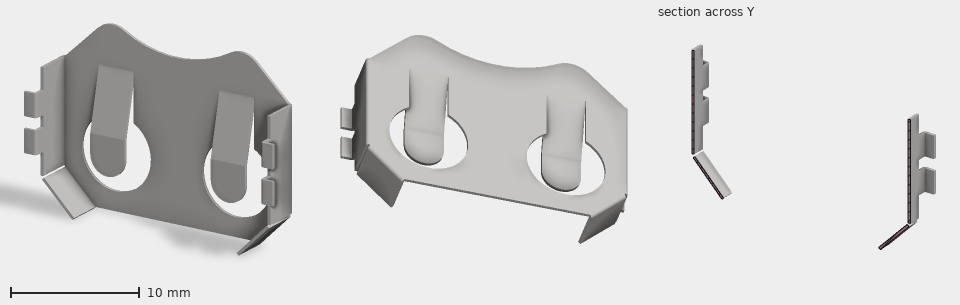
import cadquery as cq
import math


SHEET = 0.254
SIN_45 = math.sin(math.radians(45))

FOOT_SPAN = 22.86
OVERALL_DEPTH = 4.318
OVERALL_HEIGHT = 15.494

flange_drop = SHEET * SIN_45
PLATE_TOP = OVERALL_HEIGHT - flange_drop
PLATE_HALF_WIDTH = 10.312
SHOULDER_Z = 11.86
LOWER_CHAMFER = 2.85
LOBE_X = 5.89
LOBE_RADIUS = 2.032
TROUGH_RADIUS = 9.525

FLANGE_DEPTH = 3.302
CORNER_GAP = 0.06
FOOT_WIDTH = 2.032
FOOT_SPACING = 1.016
FEET_MIDDLE_Z = 7.44

TONGUE_X = 5.54
TONGUE_WIDTH = 3.175
TONGUE_REACH = 1.524
ROOT_Z = SHOULDER_Z
KNEE_Z = 6.52
PAD_CENTRE_Z = 4.826
WINDOW_DIAMETER = 6.35
ROOT_BEND_RADIUS = 0.508

half_foot_span = FOOT_SPAN / 2
lower_corner_x = PLATE_HALF_WIDTH - LOWER_CHAMFER
wall_bottom = LOWER_CHAMFER + CORNER_GAP
foot_pitch = FOOT_WIDTH + FOOT_SPACING
bend_inset = SHEET * (1 - SIN_45)


def mirrored(shape):
    """The shape together with its mirror image across the YZ plane."""
    return shape.union(shape.mirror("YZ"))


def make_plate():
    """Flat plate with chamfered corners and a top edge of two lobes and a trough."""
    lobe_z = PLATE_TOP - LOBE_RADIUS
    centre_distance = LOBE_RADIUS + TROUGH_RADIUS
    trough_centre_z = lobe_z + math.sqrt(centre_distance**2 - LOBE_X**2)

    run = PLATE_HALF_WIDTH - LOBE_X
    rise = SHOULDER_Z - lobe_z
    tangent_angle = math.atan2(rise, run) + math.acos(LOBE_RADIUS / math.hypot(run, rise))
    shoulder_x = LOBE_X + LOBE_RADIUS * math.cos(tangent_angle)
    shoulder_z = lobe_z + LOBE_RADIUS * math.sin(tangent_angle)

    share = LOBE_RADIUS / centre_distance
    join_x = LOBE_X * (1 - share)
    join_z = lobe_z + (trough_centre_z - lobe_z) * share

    return (
        cq.Workplane("XZ")
        .moveTo(-lower_corner_x, 0)
        .lineTo(lower_corner_x, 0)
        .lineTo(PLATE_HALF_WIDTH, LOWER_CHAMFER)
        .lineTo(PLATE_HALF_WIDTH, SHOULDER_Z)
        .lineTo(shoulder_x, shoulder_z)
        .threePointArc((LOBE_X, PLATE_TOP), (join_x, join_z))
        .threePointArc((0, trough_centre_z - TROUGH_RADIUS), (-join_x, join_z))
        .threePointArc((-LOBE_X, PLATE_TOP), (-shoulder_x, shoulder_z))
        .lineTo(-PLATE_HALF_WIDTH, SHOULDER_Z)
        .lineTo(-PLATE_HALF_WIDTH, LOWER_CHAMFER)
        .close()
        .extrude(SHEET)
    )


def make_window():
    """Cutter for the right-hand round window and the slot the tongue is folded from."""
    slot_height = ROOT_Z - PAD_CENTRE_Z
    window = (
        cq.Workplane("XZ")
        .center(TONGUE_X, PAD_CENTRE_Z)
        .circle(WINDOW_DIAMETER / 2)
        .extrude(SHEET)
    )
    slot = (
        cq.Workplane("XZ")
        .center(TONGUE_X, PAD_CENTRE_Z + slot_height / 2)
        .rect(TONGUE_WIDTH, slot_height)
        .extrude(SHEET)
    )
    return window.union(slot)


def bend_plane(x, z, angle):
    """Plane across a bend line: local x points outward, local y points to the front (-Y).

    The outward direction is turned by `angle` degrees from +X towards -Z, and the plane
    normal runs down the bend line.
    """
    c = math.cos(math.radians(angle))
    s = math.sin(math.radians(angle))
    return cq.Plane(origin=(x, 0, z), xDir=(c, 0, -s), normal=(-s, 0, -c))


def make_flange(plane, length):
    """Square fold that starts at a plate edge, with a rounded outer corner."""
    return (
        cq.Workplane(plane)
        .threePointArc((SHEET - bend_inset, bend_inset), (SHEET, SHEET))
        .lineTo(SHEET, FLANGE_DEPTH)
        .lineTo(0, FLANGE_DEPTH)
        .close()
        .extrude(length)
    )


def make_foot(top_z):
    """Solder foot: a tab of the right-hand wall folded outward, its corner rounded."""
    foot_reach = half_foot_span - PLATE_HALF_WIDTH
    sole = OVERALL_DEPTH
    instep = OVERALL_DEPTH - SHEET
    return (
        cq.Workplane(bend_plane(PLATE_HALF_WIDTH, top_z, 0))
        .moveTo(0, FLANGE_DEPTH)
        .lineTo(SHEET, FLANGE_DEPTH)
        .lineTo(SHEET, instep)
        .lineTo(foot_reach, instep)
        .lineTo(foot_reach, sole)
        .lineTo(SHEET, sole)
        .threePointArc((bend_inset, sole - bend_inset), (0, instep))
        .close()
        .extrude(FOOT_WIDTH)
    )


def make_side():
    """Right-hand wall with its two feet, and the lower corner flange."""
    side = make_flange(bend_plane(PLATE_HALF_WIDTH, SHOULDER_Z, 0), SHOULDER_Z - wall_bottom)
    for offset in (-foot_pitch / 2, foot_pitch / 2):
        side = side.union(make_foot(FEET_MIDDLE_Z + offset + FOOT_WIDTH / 2))

    flange_x = PLATE_HALF_WIDTH - CORNER_GAP
    flange_z = LOWER_CHAMFER - CORNER_GAP
    flange_length = math.hypot(flange_x - lower_corner_x, flange_z)
    return side.union(make_flange(bend_plane(flange_x, flange_z, 45), flange_length))


def make_tongue():
    """Right-hand contact tongue: a sloping strip ending in an upright, round-ended pad."""
    pad_radius = TONGUE_WIDTH / 2
    pad_tip_z = PAD_CENTRE_Z - pad_radius
    pad_rear_y = SHEET - TONGUE_REACH

    root_centre_y = -SHEET - ROOT_BEND_RADIUS
    root_outer_radius = ROOT_BEND_RADIUS + SHEET
    lean = root_centre_y - pad_rear_y
    fall = ROOT_Z - KNEE_Z
    slope = math.atan2(lean, fall) + math.asin(root_outer_radius / math.hypot(lean, fall))

    def root_point(radius, angle):
        return (root_centre_y + radius * math.cos(angle), ROOT_Z - radius * math.sin(angle))

    def knee_point(angle):
        return (pad_rear_y - SHEET * math.cos(angle), KNEE_Z + SHEET * math.sin(angle))

    strip = (
        cq.Workplane("YZ", origin=(TONGUE_X, 0, 0))
        .moveTo(-SHEET, ROOT_Z)
        .threePointArc(
            root_point(ROOT_BEND_RADIUS, slope / 2),
            root_point(ROOT_BEND_RADIUS, slope),
        )
        .lineTo(*knee_point(slope))
        .threePointArc(knee_point(slope / 2), knee_point(0))
        .lineTo(-TONGUE_REACH, pad_tip_z)
        .lineTo(pad_rear_y, pad_tip_z)
        .lineTo(pad_rear_y, KNEE_Z)
        .lineTo(*root_point(root_outer_radius, slope))
        .threePointArc(root_point(root_outer_radius, slope / 2), (0, ROOT_Z))
        .close()
        .extrude(pad_radius, both=True)
    )

    outline = (
        cq.Workplane("XZ")
        .moveTo(TONGUE_X - pad_radius, ROOT_Z)
        .lineTo(TONGUE_X - pad_radius, PAD_CENTRE_Z)
        .threePointArc((TONGUE_X, pad_tip_z), (TONGUE_X + pad_radius, PAD_CENTRE_Z))
        .lineTo(TONGUE_X + pad_radius, ROOT_Z)
        .close()
        .extrude(TONGUE_REACH)
    )
    return strip.intersect(outline)


result = (
    make_plate()
    .cut(mirrored(make_window()))
    .union(mirrored(make_side()))
    .union(mirrored(make_tongue()))
)